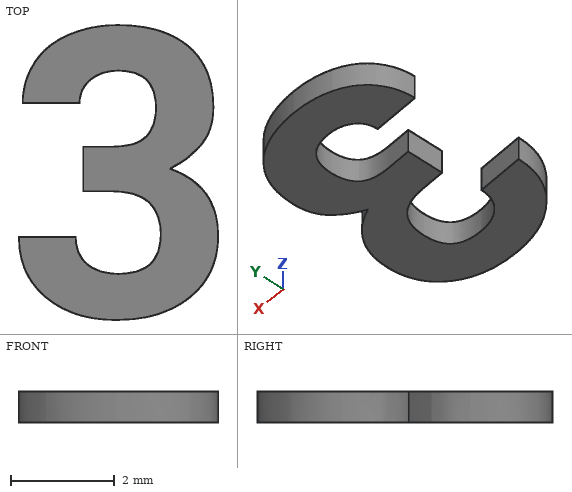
import cadquery as cq

WIDTH = 3.84
HEIGHT = 5.68
THICKNESS = 0.6

LOWER_TIP_Y = 1.6
LOWER_RIGHT_Y = 1.625
BOTTOM_X = 1.875
UPPER_TIP_X = 0.075
UPPER_TIP_Y = 4.175
UPPER_RIGHT_X = 3.75
UPPER_RIGHT_Y = 4.1
TOP_X = 1.895
WAIST = (2.915, 2.915)

STROKE_WIDTH = 1.095
INNER_CREST_X = 1.915
LOWER_INNER_BOTTOM = 0.89
LOWER_INNER_RIGHT = (2.73, 1.65)
UPPER_INNER_TOP = 4.8
UPPER_INNER_RIGHT = (2.64, 4.085)

BAR_LEFT = 1.24
BAR_BOTTOM = 2.475
BAR_TOP = 3.34
BAR_END_X = 1.82


def smooth_curve(outline, start, controls, end):
    """Draw smoothly joined quadratic curves, which meet midway between neighbouring controls."""
    joints = [((a[0] + b[0]) / 2, (a[1] + b[1]) / 2) for a, b in zip(controls, controls[1:])]
    starts = [start] + joints
    ends = joints + [end]
    for first, control, last in zip(starts, controls, ends):
        outline = outline.bezier([first, control, last])
    return outline


lower_tip = (0, LOWER_TIP_Y)
bottom = (BOTTOM_X, 0)
lower_right = (WIDTH, LOWER_RIGHT_Y)
upper_right = (UPPER_RIGHT_X, UPPER_RIGHT_Y)
top = (TOP_X, HEIGHT)
upper_tip = (UPPER_TIP_X, UPPER_TIP_Y)
upper_inner_tip = (UPPER_TIP_X + STROKE_WIDTH, UPPER_TIP_Y)
upper_inner_top = (INNER_CREST_X, UPPER_INNER_TOP)
bar_top_end = (BAR_END_X, BAR_TOP)
bar_bottom_end = (BAR_END_X, BAR_BOTTOM)
lower_inner_bottom = (INNER_CREST_X, LOWER_INNER_BOTTOM)
lower_inner_tip = (STROKE_WIDTH, LOWER_TIP_Y)

outline = cq.Workplane("XY").moveTo(*lower_tip)

outline = smooth_curve(outline, lower_tip, [(0, 0.875), (1.045, 0)], bottom)
outline = smooth_curve(outline, bottom, [(2.755, 0), (WIDTH, 0.88)], lower_right)
outline = smooth_curve(outline, lower_right, [(WIDTH, 2.1), (3.38, 2.75)], WAIST)

outline = smooth_curve(outline, WAIST, [(3.24, 3.07), (UPPER_RIGHT_X, 3.635)], upper_right)
outline = smooth_curve(outline, upper_right, [(UPPER_RIGHT_X, 4.86), (2.785, HEIGHT)], top)
outline = smooth_curve(outline, top, [(1.41, HEIGHT), (0.54, 5.315), (UPPER_TIP_X, 4.605)], upper_tip)

outline = outline.lineTo(*upper_inner_tip)
outline = smooth_curve(
    outline, upper_inner_tip, [(upper_inner_tip[0], 4.455), (1.59, UPPER_INNER_TOP)], upper_inner_top
)
outline = smooth_curve(
    outline, upper_inner_top, [(2.285, UPPER_INNER_TOP), (UPPER_INNER_RIGHT[0], 4.44)], UPPER_INNER_RIGHT
)
outline = smooth_curve(
    outline, UPPER_INNER_RIGHT, [(UPPER_INNER_RIGHT[0], 3.74), (2.28, BAR_TOP)], bar_top_end
)

outline = outline.lineTo(BAR_LEFT, BAR_TOP).lineTo(BAR_LEFT, BAR_BOTTOM).lineTo(*bar_bottom_end)

outline = smooth_curve(
    outline, bar_bottom_end, [(LOWER_INNER_RIGHT[0], BAR_BOTTOM)], LOWER_INNER_RIGHT
)
outline = smooth_curve(
    outline, LOWER_INNER_RIGHT, [(LOWER_INNER_RIGHT[0], 1.265), (2.33, LOWER_INNER_BOTTOM)], lower_inner_bottom
)
outline = smooth_curve(
    outline, lower_inner_bottom, [(1.54, LOWER_INNER_BOTTOM), (STROKE_WIDTH, 1.26)], lower_inner_tip
)

result = outline.close().extrude(THICKNESS)